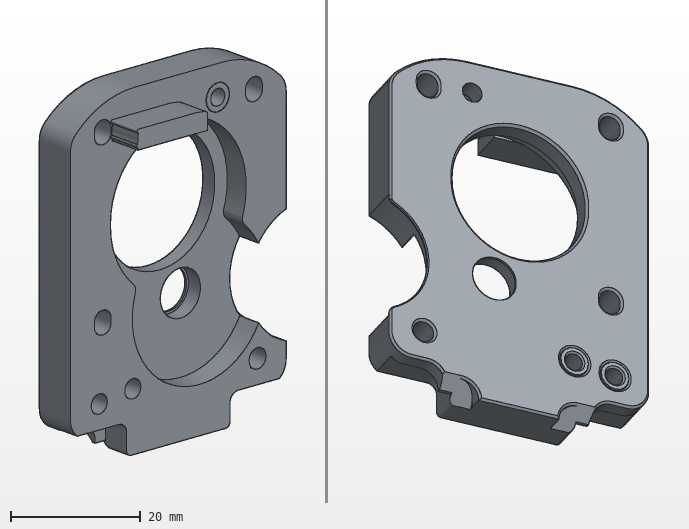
import cadquery as cq
import math

height = 59.85
half_width = 22.115
plate_thickness = 7.65
edge_chamfer = 0.35

top_half_flat = 9.0
shoulder_radius = 17.2
shoulder_corner_radius = 3.9
shelf_z = 4.8
bottom_corner_radius = 3.8

notch_radius = 10.2
notch_y = 25.8
notch_z = 22.2
notch_corner_radius = 1.5
notch_chamfer = 0.2
notch_rear_clearance = 1.2

front_layer = 2.7
front_foot_half = 12.7
front_foot_z = 1.4
front_foot_fillet = 3.0
rear_foot_half = 10.6
rear_foot_x = 0.6
rear_shelf_z = 5.6
rear_foot_fillet = 1.7
rear_foot_round = 0.9
nose_half = 6.8
nose_flare = 3.1
bevel_reach = nose_flare + edge_chamfer

motor_z = 38.5
motor_hole_diameter = 22.6
motor_chamfer = 0.4
motor_recess_diameter = 27.8
screw_offset = 15.5
adjustment = 0.6
web_thickness = 3.25

gear_y = 4.3
gear_z = 22.15
gear_pocket_diameter = 27.55
pocket_corner_radius = 1.5
lip_diameter = 7.4
bearing_diameter = 8.2
lip_thickness = 0.4

screw_diameter = 3.5
screw_rim_diameter = 4.25
plain_screw_y = 16.2
plain_screw_z = 9.95
clearance_diameter = 3.3

insert_diameter = 4.8
insert_root_diameter = 4.6
insert_bore = 2.9
insert_bore_rim = 3.5
insert_length = 4.0
insert_rim_diameter = 5.5
knurl_count = 16
front_inserts = [(-9.35, 10.8), (-16.2, 9.9)]
rear_insert = (8.1, 54.35)

rail_length = 6.05
rail_top_z = 55.6
rail_bottom_z = 52.2
rail_end_y = -13.8
rail_tip_y = 0.7
rail_tip_radius = 0.7
rail_slope_y = -1.7
rail_slope_drop = 0.2
rail_lip_radius = 0.33
rail_groove_depth = 0.25
rail_groove_top_z = 54.2
rail_groove_bottom_z = 53.7
rail_rib_top_z = 53.15
rail_rib_bottom_z = 52.55


def plane_at(x):
    """YZ workplane at the given X, extruding toward +X."""
    return cq.Workplane("YZ", origin=(x, 0, 0))


def cylinder(y, z, diameter, x_start, x_end):
    return plane_at(x_start).center(y, z).circle(diameter / 2).extrude(x_end - x_start)


def cone(y, z, rim_diameter, small_diameter, x_start):
    """45-degree countersink that narrows toward +X."""
    depth = (rim_diameter - small_diameter) / 2
    return plane_at(x_start).center(y, z).circle(rim_diameter / 2).extrude(depth, taper=45)


def z_slot(y, z, width, x_start, depth, taper=0):
    """Slot lengthened in Z by the adjustment travel."""
    profile = plane_at(x_start).center(y, z).slot2D(width + adjustment, width, 90)
    return profile.extrude(depth, taper=taper)


def main_slab(x_start, x_end):
    """Plate outline above the shelf."""
    shoulder_z = height - shoulder_radius
    corner_y = half_width - shoulder_corner_radius
    center_gap = shoulder_radius - shoulder_corner_radius
    corner_z = shoulder_z + math.sqrt(center_gap**2 - (corner_y - top_half_flat) ** 2)
    angle = math.atan2(corner_z - shoulder_z, corner_y - top_half_flat)
    shoulder_mid = (angle + math.pi / 2) / 2

    def shoulder_point(turn):
        return (
            top_half_flat + shoulder_radius * math.cos(turn),
            shoulder_z + shoulder_radius * math.sin(turn),
        )

    def corner_point(turn):
        return (
            corner_y + shoulder_corner_radius * math.cos(turn),
            corner_z + shoulder_corner_radius * math.sin(turn),
        )

    half = (
        plane_at(x_start)
        .moveTo(0, shelf_z)
        .lineTo(half_width - bottom_corner_radius, shelf_z)
        .radiusArc((half_width, shelf_z + bottom_corner_radius), -bottom_corner_radius)
        .lineTo(half_width, corner_z)
        .threePointArc(corner_point(angle / 2), corner_point(angle))
        .threePointArc(shoulder_point(shoulder_mid), (top_half_flat, height))
        .lineTo(0, height)
        .close()
        .extrude(x_end - x_start)
    )
    return half.union(half.mirror("XZ")).clean()


def notch(x_start, depth, grow=0.0, taper=0):
    """Cutter for the side notch with rounded mouth corners, enlarged all round by grow."""
    side = half_width - grow
    radius = notch_radius + grow
    corner_radius = notch_corner_radius - grow
    corner_y = side - corner_radius
    rise = math.sqrt((radius + corner_radius) ** 2 - (notch_y - corner_y) ** 2)
    share = radius / (radius + corner_radius)
    touch_y = notch_y + share * (corner_y - notch_y)
    touch_rise = share * rise
    return (
        plane_at(x_start)
        .moveTo(notch_y, notch_z - rise)
        .lineTo(side, notch_z - rise)
        .radiusArc((touch_y, notch_z - touch_rise), -corner_radius)
        .threePointArc((notch_y - radius, notch_z), (touch_y, notch_z + touch_rise))
        .radiusArc((side, notch_z + rise), -corner_radius)
        .lineTo(notch_y, notch_z + rise)
        .close()
        .extrude(depth, taper=taper)
    )


def nose():
    """Centre of the foot in the front layer, flaring out into the shelf."""
    flare_center_z = shelf_z - front_foot_fillet
    outer_y = front_foot_half + front_foot_fillet
    drop = nose_flare - flare_center_z
    neck_y = outer_y - math.sqrt(front_foot_fillet**2 - drop**2)
    half = (
        plane_at(0)
        .moveTo(0, 0)
        .lineTo(nose_half, 0)
        .radiusArc((nose_half + nose_flare, nose_flare), nose_flare)
        .lineTo(neck_y, nose_flare)
        .radiusArc((outer_y, shelf_z), front_foot_fillet)
        .lineTo(0, shelf_z)
        .close()
        .extrude(front_layer)
    )
    return half.union(half.mirror("XZ")).clean()


def front_foot():
    """Wide foot of the front layer, before its flanks are bevelled."""
    outer_y = front_foot_half + front_foot_fillet
    half = (
        plane_at(0)
        .moveTo(0, front_foot_z)
        .lineTo(front_foot_half, front_foot_z)
        .lineTo(front_foot_half, shelf_z - front_foot_fillet)
        .radiusArc((outer_y, shelf_z), front_foot_fillet)
        .lineTo(0, shelf_z)
        .close()
        .extrude(front_layer)
    )
    below_flare = cq.Workplane("XY").box(front_layer, 2 * half_width, nose_flare, centered=(False, True, False))
    return half.union(half.mirror("XZ")).intersect(below_flare)


def rear_foot():
    """Narrow foot behind the bevel, ending in the nose."""
    outer_y = rear_foot_half + rear_foot_fillet
    half = (
        plane_at(rear_foot_x)
        .moveTo(0, 0)
        .lineTo(rear_foot_half - rear_foot_round, 0)
        .radiusArc((rear_foot_half, rear_foot_round), -rear_foot_round)
        .lineTo(rear_foot_half, rear_shelf_z - rear_foot_fillet)
        .radiusArc((outer_y, rear_shelf_z), rear_foot_fillet)
        .lineTo(0, rear_shelf_z)
        .close()
        .extrude(plate_thickness - rear_foot_x)
    )
    return half.union(half.mirror("XZ"))


def foot_bevels():
    """45-degree wedges that slope the foot away on both sides of the nose."""
    width = half_width - nose_half
    wedge = (
        cq.Workplane("XZ", origin=(0, half_width, 0))
        .polyline([(0, 0), (bevel_reach, 0), (0, bevel_reach)])
        .close()
        .extrude(width)
    )
    return wedge.union(wedge.mirror("XZ"))


def rail():
    """Bar with a rounded +Y end and a grooved -Y end."""
    groove_y = rail_end_y + rail_groove_depth
    lip_y = rail_end_y + rail_lip_radius
    slope_end_z = rail_top_z - rail_slope_drop
    rib_middle_z = (rail_rib_top_z + rail_rib_bottom_z) / 2
    return (
        plane_at(plate_thickness)
        .moveTo(lip_y, rail_top_z)
        .lineTo(rail_slope_y, rail_top_z)
        .lineTo(rail_tip_y - rail_tip_radius, slope_end_z)
        .radiusArc((rail_tip_y, slope_end_z - rail_tip_radius), rail_tip_radius)
        .lineTo(rail_tip_y, rail_bottom_z)
        .lineTo(groove_y, rail_bottom_z)
        .lineTo(groove_y, rail_rib_bottom_z)
        .threePointArc((rail_end_y, rib_middle_z), (rail_end_y + rail_groove_depth / 2, rail_rib_top_z))
        .lineTo(groove_y, rail_groove_bottom_z)
        .lineTo(groove_y, rail_groove_top_z)
        .lineTo(lip_y, rail_top_z - 2 * rail_lip_radius)
        .threePointArc((rail_end_y, rail_top_z - rail_lip_radius), (lip_y, rail_top_z))
        .close()
        .extrude(rail_length)
    )


def rear_recess():
    """Motor recess joined to the gear pocket, open at the rear face."""
    depth = plate_thickness - web_thickness
    motor_recess = z_slot(0, motor_z, motor_recess_diameter, web_thickness, depth)
    gear_pocket = cylinder(gear_y, gear_z, gear_pocket_diameter, web_thickness, plate_thickness)
    recess = motor_recess.union(gear_pocket)

    motor_radius = motor_recess_diameter / 2
    gear_radius = gear_pocket_diameter / 2
    lower_z = motor_z - adjustment / 2
    distance = math.hypot(gear_y, lower_z - gear_z)
    along = (motor_radius**2 - gear_radius**2 + distance**2) / (2 * distance)
    across = math.sqrt(motor_radius**2 - along**2)
    step_y = gear_y / distance
    step_z = (gear_z - lower_z) / distance
    x_middle = (web_thickness + plate_thickness) / 2
    for side in (1, -1):
        y = along * step_y - side * across * step_z
        z = lower_z + along * step_z + side * across * step_y
        corner = cq.selectors.NearestToPointSelector((x_middle, y, z))
        recess = recess.edges("|X").edges(corner).fillet(pocket_corner_radius)
    return recess


def make_plate():
    front = main_slab(0, front_layer).union(nose()).clean()
    front = front.faces("<X").chamfer(edge_chamfer)
    below_rear_shelf = cq.Workplane("XY").box(
        plate_thickness, 2 * half_width, rear_shelf_z, centered=(False, True, False)
    )
    rear = main_slab(front_layer, plate_thickness).cut(below_rear_shelf)
    foot = rear_foot().union(front_foot()).cut(foot_bevels())
    plate = rear.union(front).union(foot).clean()
    plate = plate.union(rail())
    plate = plate.cut(rear_recess())

    rear_notch = 2 * (notch_radius + notch_rear_clearance)
    plate = plate.cut(notch(0, plate_thickness))
    plate = plate.cut(notch(0, notch_chamfer, grow=notch_chamfer, taper=45))
    plate = plate.cut(cylinder(notch_y, notch_z, rear_notch, lip_thickness, plate_thickness))

    motor_rim = motor_hole_diameter + 2 * motor_chamfer
    plate = plate.cut(z_slot(0, motor_z, motor_hole_diameter, 0, plate_thickness))
    plate = plate.cut(z_slot(0, motor_z, motor_rim, 0, motor_chamfer, taper=45))

    plate = plate.cut(cylinder(gear_y, gear_z, lip_diameter, 0, plate_thickness))
    plate = plate.cut(cylinder(gear_y, gear_z, bearing_diameter, lip_thickness, plate_thickness))

    rim_depth = (screw_rim_diameter - screw_diameter) / 2
    for side_y, side_z in [(1, 1), (-1, 1), (-1, -1)]:
        y = side_y * screw_offset
        z = motor_z + side_z * screw_offset
        plate = plate.cut(z_slot(y, z, screw_diameter, 0, plate_thickness))
        plate = plate.cut(z_slot(y, z, screw_rim_diameter, 0, rim_depth, taper=45))

    plate = plate.cut(cylinder(plain_screw_y, plain_screw_z, screw_diameter, 0, plate_thickness))
    plate = plate.cut(cone(plain_screw_y, plain_screw_z, screw_rim_diameter, screw_diameter, 0))

    for y, z in front_inserts:
        plate = plate.cut(cylinder(y, z, clearance_diameter, 0, plate_thickness))
        plate = plate.cut(cylinder(y, z, insert_diameter, 0, insert_length))
        plate = plate.cut(cone(y, z, insert_rim_diameter, insert_diameter, 0))

    y, z = rear_insert
    plate = plate.cut(cylinder(y, z, clearance_diameter, 0, plate_thickness))
    seat_x = plate_thickness - insert_length
    return plate.cut(cylinder(y, z, insert_diameter, seat_x, plate_thickness))


def make_insert(y, z, x_start):
    """Knurled sleeve with a countersunk bore."""
    knurl = []
    for step in range(2 * knurl_count):
        radius = (insert_diameter if step % 2 == 0 else insert_root_diameter) / 2
        turn = math.pi * step / knurl_count
        knurl.append((radius * math.cos(turn), radius * math.sin(turn)))
    body = plane_at(x_start).center(y, z).polyline(knurl).close().extrude(insert_length)
    body = body.cut(cylinder(y, z, insert_bore, x_start, x_start + insert_length))
    return body.cut(cone(y, z, insert_bore_rim, insert_bore, x_start))


plate = make_plate()
inserts = [make_insert(y, z, 0) for y, z in front_inserts]
inserts.append(make_insert(*rear_insert, plate_thickness - insert_length))

result = cq.Compound.makeCompound([plate.val(), *[insert.val() for insert in inserts]])